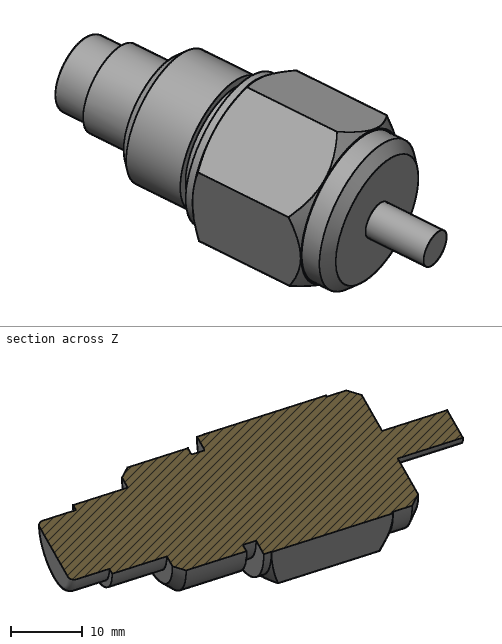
import cadquery as cq

TIP_DIAMETER = 12.0
TIP_END = 5.9
TIP_FILLET = 1.0
NOSE_DIAMETER = 14.0
NOSE_END = 14.2
COLLAR_DIAMETER = 21.0
COLLAR_END = 24.9
COLLAR_CHAMFER = 1.45
NECK_DIAMETER = 18.4
NECK_END = 26.8
FLANGE_DIAMETER = 23.9
HEX_START = 28.0
HEX_END = 46.45
HEX_CORNER_DIAMETER = 27.7
HEX_TURN = 1.0
HEX_FRONT_CHAMFER = 1.05
HEX_REAR_CHAMFER = 2.0
REAR_DIAMETER = 23.5
REAR_END = 51.1
REAR_CHAMFER = 1.65
CABLE_DIAMETER = 5.7
TOTAL_LENGTH = 61.0


def cylinder(start, end, diameter):
    """Solid cylinder along X between two stations."""
    return cq.Workplane("YZ", origin=(start, 0, 0)).circle(diameter / 2).extrude(end - start)


def hex_nut():
    """Hexagonal prism whose corners are turned down to cones at both ends."""
    prism = (
        cq.Workplane("YZ", origin=(HEX_START, 0, 0))
        .polygon(6, HEX_CORNER_DIAMETER)
        .extrude(HEX_END - HEX_START)
        .rotate((0, 0, 0), (1, 0, 0), 90 + HEX_TURN)
    )
    end_radius = FLANGE_DIAMETER / 2
    corner_radius = HEX_CORNER_DIAMETER / 2
    envelope = (
        cq.Workplane("XY")
        .moveTo(HEX_START, 0)
        .lineTo(HEX_START, end_radius)
        .lineTo(HEX_START + HEX_FRONT_CHAMFER, corner_radius)
        .lineTo(HEX_END - HEX_REAR_CHAMFER, corner_radius)
        .lineTo(HEX_END, end_radius)
        .lineTo(HEX_END, 0)
        .close()
        .revolve(360, (0, 0, 0), (1, 0, 0))
    )
    return prism.intersect(envelope)


def rear_cap():
    """Round cap behind the nut, bevelled at its rear rim."""
    cap = cylinder(HEX_END, REAR_END, REAR_DIAMETER)
    return cap.faces(">X").chamfer(REAR_CHAMFER)


tip = cylinder(0, TIP_END, TIP_DIAMETER).faces("<X").edges().fillet(TIP_FILLET)
nose = cylinder(TIP_END, NOSE_END, NOSE_DIAMETER)
collar = cylinder(NOSE_END, COLLAR_END, COLLAR_DIAMETER).faces("<X").chamfer(COLLAR_CHAMFER)
neck = cylinder(COLLAR_END, NECK_END, NECK_DIAMETER)
flange = cylinder(NECK_END, HEX_START, FLANGE_DIAMETER)
cable = cylinder(REAR_END, TOTAL_LENGTH, CABLE_DIAMETER)

result = tip
for section in (nose, collar, neck, flange, hex_nut(), rear_cap(), cable):
    result = result.union(section)